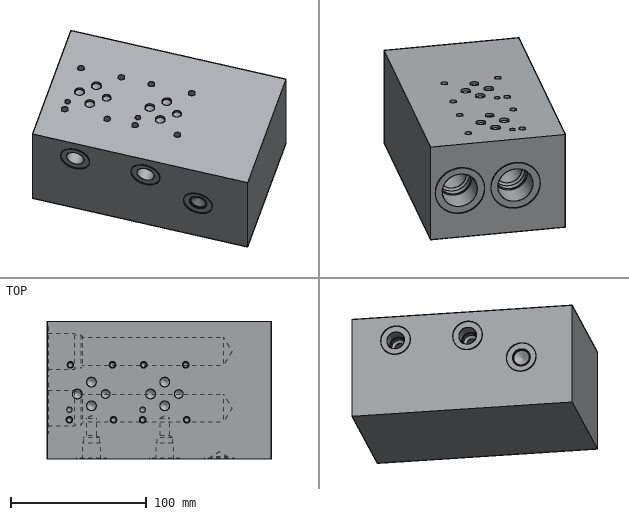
import cadquery as cq
import math

LENGTH = 165.1
WIDTH = 101.6
HEIGHT = 76.2

DRILL_POINT_ANGLE = 118.0
POINT_DEPTH_PER_RADIUS = 1 / math.tan(math.radians(DRILL_POINT_ANGLE / 2))

BOLT_OFFSETS = [(0, 0), (31.0, 0), (-0.75, 40.5), (31.75, 40.5)]
WORK_OFFSETS = [(15.5, 12.7), (15.5, 30.2)]
PRESSURE_OFFSET = (25.9, 21.5)
TANK_OFFSET = (5.1, 21.5)
PIN_OFFSET = (31.75, 33.0)

PATTERN_X = 48.1
PATTERN_Y = 69.5
PATTERN_PITCH = 53.975
PATTERN_STARTS = [PATTERN_X, PATTERN_X + PATTERN_PITCH]

BOLT_THREAD_DIAMETER = 4.83
BOLT_THREAD_DEPTH = 12.7
BOLT_TAP_DIAMETER = 3.79
BOLT_TAP_DEPTH = 16.0
PIN_DIAMETER = 3.96
PIN_DEPTH = 5.0
VALVE_PORT_DIAMETER = 7.14
TANK_PORT_DIAMETER = 6.35
VALVE_PORT_DEPTH = 2.0

SPOTFACE_DEPTH = 0.8

SMALL_SPOTFACE_DIAMETER = 22.12
SMALL_THREAD_DIAMETER = 13.16
SMALL_TAP_DIAMETER = 11.68
SMALL_THREAD_DEPTH = 12.0
SMALL_TAP_DEPTH = 16.0
SMALL_DRILL_DIAMETER = 7.14
SMALL_DRILL_DEPTH = 30.0
WORK_PORT_Z = HEIGHT - 18.4
WORK_PORT_INSET = WORK_OFFSETS[0][0]
SHALLOW_PORT_X = 126.8
SHALLOW_PORT_Z = HEIGHT / 2
SHALLOW_THREAD_DEPTH = SPOTFACE_DEPTH + 0.8
SHALLOW_TAP_DEPTH = SHALLOW_THREAD_DEPTH + 0.4

LARGE_SPOTFACE_DIAMETER = 37.11
LARGE_THREAD_DIAMETER = 26.44
LARGE_TAP_DIAMETER = 24.41
LARGE_THREAD_DEPTH = 20.0
LARGE_TAP_DEPTH = 25.0
LARGE_DRILL_DIAMETER = 20.62
LARGE_DRILL_DEPTH = 130.0
LARGE_PORT_YS = [37.5, 79.4]
LARGE_PORT_Z = HEIGHT / 2


def turned_cutter(steps, point, inward):
    """Revolve (radius, depth) steps, ending in a drill point, placed at a face point."""
    tip_depth = steps[-1][1] + steps[-1][0] * POINT_DEPTH_PER_RADIUS
    profile = [(0, 0)] + steps + [(0, tip_depth)]
    cutter = cq.Workplane("XY").polyline(profile).close().revolve(360, (0, 0), (0, 1))
    upright = cutter.rotate((0, 0, 0), (1, 0, 0), 90).val()
    plane = cq.Plane(origin=point, normal=inward)
    return upright.located(cq.Location(plane))


def drilled_hole(diameter, depth, point, inward):
    radius = diameter / 2
    return turned_cutter([(radius, 0), (radius, depth)], point, inward)


def bolt_hole(point, inward):
    thread = BOLT_THREAD_DIAMETER / 2
    tap = BOLT_TAP_DIAMETER / 2
    steps = [(thread, 0), (thread, BOLT_THREAD_DEPTH), (tap, BOLT_THREAD_DEPTH), (tap, BOLT_TAP_DEPTH)]
    return turned_cutter(steps, point, inward)


def threaded_steps(spotface, thread, thread_depth, tap_drill):
    """Steps for a spotface and a thread bore, ending at the edge of the tap drill."""
    return [
        (spotface / 2, 0),
        (spotface / 2, SPOTFACE_DEPTH),
        (thread / 2, SPOTFACE_DEPTH),
        (thread / 2, thread_depth),
        (tap_drill / 2, thread_depth),
    ]


def conical_step(large, small, depth):
    """Steps from a large drill at a depth to a smaller one, along the drill point."""
    point_length = (large - small) / 2 * POINT_DEPTH_PER_RADIUS
    return [(large / 2, depth), (small / 2, depth + point_length)]


def valve_pattern(start_x):
    down = (0, 0, -1)

    def at(offset):
        return (start_x - offset[0], PATTERN_Y - offset[1], HEIGHT)

    cutters = [bolt_hole(at(offset), down) for offset in BOLT_OFFSETS]
    for offset in WORK_OFFSETS + [PRESSURE_OFFSET]:
        cutters.append(drilled_hole(VALVE_PORT_DIAMETER, VALVE_PORT_DEPTH, at(offset), down))
    cutters.append(drilled_hole(TANK_PORT_DIAMETER, VALVE_PORT_DEPTH, at(TANK_OFFSET), down))
    cutters.append(drilled_hole(PIN_DIAMETER, PIN_DEPTH, at(PIN_OFFSET), down))
    return cutters


def front_ports():
    inward = (0, 1, 0)
    deep_steps = threaded_steps(
        SMALL_SPOTFACE_DIAMETER, SMALL_THREAD_DIAMETER, SMALL_THREAD_DEPTH, SMALL_TAP_DIAMETER
    )
    deep_steps += conical_step(SMALL_TAP_DIAMETER, SMALL_DRILL_DIAMETER, SMALL_TAP_DEPTH)
    deep_steps.append((SMALL_DRILL_DIAMETER / 2, SMALL_DRILL_DEPTH))
    cutters = []
    for start_x in PATTERN_STARTS:
        point = (start_x - WORK_PORT_INSET, 0, WORK_PORT_Z)
        cutters.append(turned_cutter(deep_steps, point, inward))

    shallow_steps = threaded_steps(
        SMALL_SPOTFACE_DIAMETER, SMALL_THREAD_DIAMETER, SHALLOW_THREAD_DEPTH, SMALL_TAP_DIAMETER
    )
    shallow_steps.append((SMALL_TAP_DIAMETER / 2, SHALLOW_TAP_DEPTH))
    cutters.append(turned_cutter(shallow_steps, (SHALLOW_PORT_X, 0, SHALLOW_PORT_Z), inward))
    return cutters


def side_ports():
    steps = threaded_steps(
        LARGE_SPOTFACE_DIAMETER, LARGE_THREAD_DIAMETER, LARGE_THREAD_DEPTH, LARGE_TAP_DIAMETER
    )
    steps += conical_step(LARGE_TAP_DIAMETER, LARGE_DRILL_DIAMETER, LARGE_TAP_DEPTH)
    steps.append((LARGE_DRILL_DIAMETER / 2, LARGE_DRILL_DEPTH))
    return [turned_cutter(steps, (0, y, LARGE_PORT_Z), (1, 0, 0)) for y in LARGE_PORT_YS]


block = cq.Workplane("XY").box(LENGTH, WIDTH, HEIGHT, centered=False)
cutters = front_ports() + side_ports()
for pattern_start in PATTERN_STARTS:
    cutters += valve_pattern(pattern_start)
for cutter in cutters:
    block = block.cut(cq.Workplane(cutter))

result = block.solids()